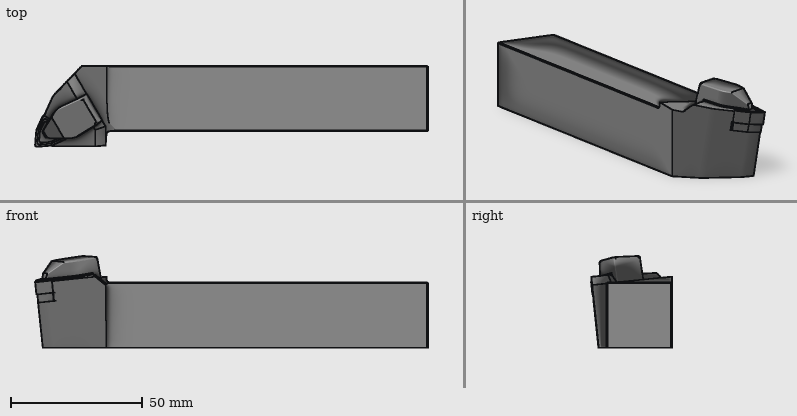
import cadquery as cq
import math

tool_length = 150.0
shank_size = 25.0
corner_offset = 6.0
shank_chamfer = 0.4
rake_angle = 6.0

insert_circle = 9.525
insert_thickness = 4.76
insert_nose_radius = 0.8
corner_angle = 80.0
lead_angle = 5.0
groove_inset = 0.8
groove_width = 0.7
groove_depth = 0.2

shim_circle = 8.9
shim_thickness = 3.18
shim_clearance = 0.25

head_top = -0.3
plateau = -3.9
head_front = 0.2
head_side = 0.3
nose_back = 0.8
nose_relief_length = 3.9
side_bend = 6.0
side_edge_radius = 4.0
side_end = 26.0
side_turn = 25.0
nose_radius = 0.9
relief_edge_radius = 7.0
notch_length = 6.6
notch_depth = 0.65

bevel_start = 18.0
bevel_angle = 46.0
bevel_edge_radius = 6.0
bevel_edge_middle = (8.5, 15.1, shank_size / 2)
head_end = 27.4
head_end_front = 27.0
step_radius = 1.1

clamp_angle = 30.0
ramp_start = 23.4
front_ramp_start = 23.2
clamp_top = 6.18
clamp_tip = 5.5
clamp_tip_lean = 0.8
clamp_tip_height = 2.5
clamp_tip_right = 1.1
clamp_tip_left = 3.6
clamp_bend_right = -4.5
clamp_bend_left = 8.6
clamp_back_right = -4.2
clamp_back_left = 7.5
clamp_right_bend = 16.0
clamp_left_bend = 15.0
clamp_bend_radius = 7.0
clamp_facet_end = 12.3
clamp_back = 27.1
clamp_back_lean = 0.9
clamp_back_radius = 0.9
clamp_edge = 0.5
clamp_gap = 0.4
clamp_pad_inset = 0.8

tolerance = 0.01
far = 60.0

tilt = math.tan(math.radians(rake_angle))
seat_normal = cq.Vector(-tilt, -tilt, 1).normalized()
insert_corner = cq.Vector(0, -corner_offset, shank_size)


def seat_direction(angle):
    """Direction in the tilted seat whose plan view is at this angle from +X."""
    dx = math.cos(math.radians(angle))
    dy = math.sin(math.radians(angle))
    return cq.Vector(dx, dy, tilt * (dx + dy))


def seat_frame(height, angle=0.0):
    """Plane parallel to the insert's top face, at a height from it."""
    origin = insert_corner + seat_normal * height
    return cq.Plane(origin=origin, xDir=seat_direction(angle), normal=seat_normal)


def section_frame(angle):
    """Plane standing on the seat: x along the angle, y along the seat normal."""
    along = seat_direction(angle)
    return cq.Plane(origin=insert_corner, xDir=along, normal=along.cross(seat_normal))


def round_upright(prism, frame, place, radius):
    """Fillet the prism edge along the seat normal that is nearest to a place in a frame."""
    target = frame.toWorldCoords((*place, far / 2))
    upright = prism.edges(cq.selectors.ParallelDirSelector(seat_normal))
    return upright.sort(lambda e: (e.Center() - target).Length)[0].fillet(radius)


insert_center = insert_circle / 2 / math.sin(math.radians(corner_angle / 2))


def trigon(circle, bottom, thickness, nose):
    """Three-cornered prism around an inscribed circle, sharp corner toward the tool tip."""
    half = math.radians(corner_angle / 2)
    corner_distance = circle / 2 / math.sin(half)
    bend_distance = circle / 2 / math.sin(2 * half)
    points = []
    for i in range(6):
        angle = math.radians(180 + 60 * i)
        distance = bend_distance if i % 2 else corner_distance
        points.append((insert_center + distance * math.cos(angle), distance * math.sin(angle)))
    toward_center = lead_angle + corner_angle / 2
    prism = cq.Workplane(seat_frame(bottom, toward_center)).polyline(points).close().extrude(thickness)
    corners = prism.edges(cq.selectors.ParallelDirSelector(seat_normal))
    sharp = corners.filter(lambda e: is_corner(e, corner_distance))
    return sharp.fillet(nose)


def is_corner(edge, corner_distance):
    """True for the sharp corners of a trigon, which lie farthest from its centre line."""
    center = insert_corner + seat_direction(lead_angle + corner_angle / 2).normalized() * insert_center
    offset = edge.Center() - center
    radial = offset - seat_normal * offset.dot(seat_normal)
    return abs(radial.Length - corner_distance) < tolerance


def make_insert():
    body = trigon(insert_circle, -insert_thickness, insert_thickness, insert_nose_radius)
    outer = trigon(insert_circle - 2 * groove_inset, -groove_depth, 2 * groove_depth, insert_nose_radius)
    inner_circle = insert_circle - 2 * (groove_inset + groove_width)
    inner = trigon(inner_circle, -groove_depth, 2 * groove_depth, insert_nose_radius)
    return body.cut(outer.cut(inner))


def make_head():
    """Leaning head block: a prism along the seat normal, trimmed by upright faces."""
    lead = math.tan(math.radians(lead_angle))
    turn = math.tan(math.radians(side_turn))
    bend_x = head_side + side_bend * lead
    base = seat_frame(-far)
    prism = (
        cq.Workplane(base)
        .moveTo(nose_relief_length, head_front)
        .lineTo(far, head_front)
        .lineTo(far, side_end + far)
        .lineTo(bend_x + (side_end - side_bend) * turn, side_end)
        .lineTo(bend_x, side_bend)
        .lineTo(head_side, nose_back)
        .close()
        .extrude(far + head_top)
    )
    prism = round_upright(prism, base, (head_side, nose_back), nose_radius)
    prism = round_upright(prism, base, (bend_x, side_bend), side_edge_radius)
    prism = round_upright(prism, base, (nose_relief_length, head_front), relief_edge_radius)

    bevel_drop = shank_size + far
    bevel_run = bevel_drop / math.tan(math.radians(bevel_angle))
    plan = (
        cq.Workplane("XY")
        .moveTo(bevel_start, shank_size)
        .lineTo(head_end + step_radius, shank_size)
        .lineTo(head_end + step_radius, 0)
        .radiusArc((head_end, -step_radius), -step_radius)
        .lineTo(head_end_front, -corner_offset)
        .lineTo(head_end_front, -far)
        .lineTo(bevel_start - bevel_run, -far)
        .close()
        .extrude(far)
    )
    block = prism.intersect(plan)
    bevel_edge = cq.Vector(*bevel_edge_middle)
    block = block.edges().sort(lambda e: (e.Center() - bevel_edge).Length)[0].fillet(bevel_edge_radius)
    return block.cut(step_cove()).cut(insert_notch())


def step_cove():
    """Cutting tool above the shank: the head's end face runs down in a cove."""
    return (
        cq.Workplane("XZ", origin=(0, far, 0))
        .moveTo(head_end + step_radius, shank_size)
        .radiusArc((head_end, shank_size + step_radius), step_radius)
        .lineTo(head_end, far)
        .lineTo(head_end + step_radius, far)
        .close()
        .extrude(2 * far)
    )


def insert_notch():
    """Cutting tool that opens the -Y face beside the insert and shim."""
    return (
        cq.Workplane(seat_frame(-insert_thickness - shim_thickness))
        .rect(notch_length, 2 * notch_depth, centered=(False, True))
        .extrude(far)
    )


def make_shank():
    start = bevel_start
    shank = (
        cq.Workplane("XY")
        .box(tool_length - start, shank_size, shank_size, centered=False)
        .translate((start, 0, 0))
    )
    return shank.edges("(|X and >Z) or (>X and (not <Z))").chamfer(shank_chamfer)


def ramp(angle, start):
    """Cutting tool over the plateau, with a 45 degree ramp from the head top."""
    run = head_top - plateau
    return (
        cq.Workplane(section_frame(angle))
        .moveTo(start, head_top)
        .lineTo(start + run, plateau)
        .lineTo(far, plateau)
        .lineTo(far, far)
        .lineTo(start, far)
        .close()
        .extrude(far, both=True)
    )


def clamp_outline(inset=0.0):
    """Prism over the clamp's plan outline, with its two side bends rounded."""
    frame = seat_frame(plateau, clamp_angle)
    right_bend = (clamp_right_bend, clamp_bend_right + inset)
    left_bend = (clamp_left_bend, clamp_bend_left - inset)
    prism = (
        cq.Workplane(frame)
        .moveTo(clamp_back - inset, clamp_back_right + inset)
        .lineTo(*right_bend)
        .lineTo(clamp_tip + inset, clamp_tip_right + inset)
        .lineTo(clamp_tip + inset, clamp_tip_left - inset)
        .lineTo(*left_bend)
        .lineTo(clamp_back - inset, clamp_back_left - inset)
        .close()
        .extrude(far)
    )
    prism = round_upright(prism, frame, right_bend, clamp_bend_radius)
    return round_upright(prism, frame, left_bend, clamp_bend_radius)


def clamp_profile(underside):
    """Side profile of the clamp, with its underside at a height over the seat."""
    return (
        cq.Workplane(section_frame(clamp_angle))
        .moveTo(clamp_tip, underside)
        .lineTo(clamp_tip + clamp_tip_lean, clamp_tip_height)
        .lineTo(clamp_facet_end, clamp_top)
        .lineTo(clamp_back - clamp_back_lean, clamp_top)
        .lineTo(clamp_back, plateau)
        .lineTo(ramp_start, plateau)
        .lineTo(ramp_start, underside)
        .close()
        .extrude(far, both=True)
    )


def make_clamp():
    """Clamp finger with rounded upper edges, standing on a smaller pad."""
    across = seat_direction(clamp_angle).cross(seat_normal)
    finger = clamp_outline().intersect(clamp_profile(clamp_gap))
    top_edges = finger.faces(cq.selectors.DirectionMinMaxSelector(seat_normal)).edges()
    back_edge = top_edges.edges(cq.selectors.ParallelDirSelector(across)).edges(">X")
    finger = back_edge.fillet(clamp_back_radius)
    along = seat_direction(clamp_angle).normalized()
    facet_run = clamp_facet_end - clamp_tip - clamp_tip_lean
    facet_rise = clamp_top - clamp_tip_height
    facet_normal = seat_normal * facet_run - along * facet_rise
    upper_faces = finger.faces(cq.selectors.DirectionMinMaxSelector(seat_normal))
    upper_faces = upper_faces.add(finger.faces(cq.selectors.ParallelDirSelector(facet_normal)))
    sides = upper_faces.edges(cq.selectors.InverseSelector(cq.selectors.ParallelDirSelector(across)))
    finger = sides.fillet(clamp_edge)
    pad = clamp_outline(clamp_pad_inset).intersect(clamp_profile(head_top))
    return finger.union(pad)


def make_holder(insert_pocket):
    """Shank, head, shim and clamp as one body, with a pocket for the insert."""
    shim_bottom = -insert_thickness - shim_thickness
    shim = trigon(shim_circle, shim_bottom, shim_thickness, insert_nose_radius)
    shim_pocket = trigon(
        insert_circle + 2 * shim_clearance, shim_bottom, shim_thickness, insert_nose_radius
    )
    body = make_head().union(make_shank())
    body = body.cut(ramp(clamp_angle, ramp_start)).cut(ramp(0, front_ramp_start))
    body = body.cut(shim_pocket).union(shim).union(make_clamp())
    return body.cut(insert_pocket)


insert = make_insert()
holder = make_holder(trigon(insert_circle, -insert_thickness, insert_thickness, insert_nose_radius))
result = cq.Compound.makeCompound([holder.val(), insert.val()])